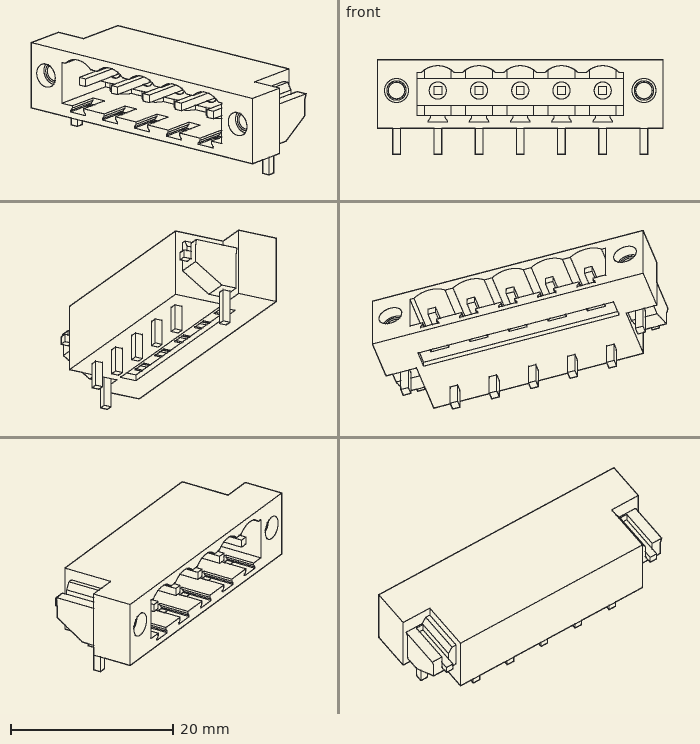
import cadquery as cq
import math


FLANGE_LENGTH = 35.2
FLANGE_DEPTH = 5.3
BODY_LENGTH = 27.25
BODY_DEPTH = 12.0
HOUSING_HEIGHT = 8.5

PIN_COUNT = 5
CAVITY_LENGTH = 25.4
PITCH = CAVITY_LENGTH / PIN_COUNT
CAVITY_FLOOR = 1.62
CAVITY_CEILING = 6.9
CAVITY_DEPTH = 8.45
SCALLOP_TOP = 7.75
SCALLOP_RADIUS = 2.85
PIN_POSITIONS = [(i - (PIN_COUNT - 1) / 2) * PITCH for i in range(PIN_COUNT)]

BAR_BOTTOM = 2.8
BAR_TOP = 6.15
BAR_THICKNESS = 1.4
POST_HALF_WIDTH = 1.65
POST_FLAT_DEPTH = 0.65
POST_ARC_HALF_WIDTH = 1.25
POST_THICKNESS = 1.23

SLOT_TOP_WIDTH = 1.8
SLOT_BOTTOM_WIDTH = 2.35
SLOT_DEPTH = 0.85
SLOT_NECK = 0.28
SLOT_FOOT = 0.18
SLOT_LENGTH = 4.05
WINDOW_START = 3.15

RELIEF_REAR = FLANGE_DEPTH

PIN_SIZE = 1.0
PIN_AXIS_HEIGHT = 4.68
PIN_TAIL = 3.2
PIN_TIP = 0.88
PIN_LEG_CENTRE = 9.95
PIN_RECESS_RADIUS = 1.05
PIN_RECESS_DEPTH = 0.18
END_PIN_LEG_CENTRE = 6.0
END_POSITION = (PIN_COUNT + 1) / 2 * PITCH

INSERT_RADIUS = 1.48
INSERT_RECESS = 1.4
INSERT_END = 4.58
BORE_RADIUS = 1.02
BORE_CHAMFER = 0.18
BORE_CHAMFER_DEPTH = 0.1

EAR_OUTER_WALL = 16.95
EAR_LIP = 17.18
EAR_REAR = 11.0
EAR_BOTTOM = 0.95
EAR_LIP_BOTTOM = 5.5
EAR_OUTER_TOP = 6.23
EAR_INNER_TOP = 7.1
EAR_LEAD_IN_TOP = 14.22
GUSSET_START = 7.32
GUSSET_REAR_BOTTOM = 3.35


def block(x_range, y_range, z_range):
    """Box between two limits along each axis."""
    (x0, x1), (y0, y1), (z0, z1) = x_range, y_range, z_range
    return cq.Workplane("XY").box(x1 - x0, y1 - y0, z1 - z0, centered=False).translate((x0, y0, z0))


def across(centre, width):
    """Lower and upper limit of a width about a centre."""
    return (centre - width / 2, centre + width / 2)


def rear_facing_plane(y):
    """XZ workplane at a depth, whose extrusions run towards +Y when negative."""
    return cq.Workplane("XZ", origin=(0, y, 0))


def cylinder(x, radius, y_start, y_end):
    """Cylinder along Y on the common height of the pins and inserts."""
    return rear_facing_plane(y_start).center(x, PIN_AXIS_HEIGHT).circle(radius).extrude(y_start - y_end)


def angled_pin(x, front, rear, leg_centre):
    """Square pin lying along Y with a leg down to the board side."""
    rod = block(
        across(x, PIN_SIZE),
        (front, rear),
        across(PIN_AXIS_HEIGHT, PIN_SIZE),
    )
    leg = block(
        across(x, PIN_SIZE),
        across(leg_centre, PIN_SIZE),
        (-PIN_TAIL, PIN_AXIS_HEIGHT),
    )
    return rod.union(leg)


def contact_pin(x):
    return angled_pin(x, PIN_TIP, PIN_LEG_CENTRE + PIN_SIZE / 2, PIN_LEG_CENTRE)


def end_pin(x):
    return angled_pin(x, END_PIN_LEG_CENTRE - PIN_SIZE / 2, BODY_DEPTH, END_PIN_LEG_CENTRE)


def threaded_insert(x):
    """Bushing with a chamfered mouth."""
    bushing = cylinder(x, INSERT_RADIUS, INSERT_RECESS, INSERT_END)
    bushing = bushing.cut(cylinder(x, BORE_RADIUS, INSERT_RECESS, INSERT_END))
    mouth = cq.Solid.makeCone(
        BORE_RADIUS + BORE_CHAMFER,
        BORE_RADIUS,
        BORE_CHAMFER_DEPTH,
        pnt=cq.Vector(x, INSERT_RECESS, PIN_AXIS_HEIGHT),
        dir=cq.Vector(0, 1, 0),
    )
    return bushing.cut(cq.Workplane(mouth))


def ear():
    """Ear on the +X side, with a gusset below and an open channel for the end pin."""
    pin_inner, pin_outer = across(END_POSITION, PIN_SIZE)
    section = [
        (BODY_LENGTH / 2, EAR_BOTTOM),
        (EAR_OUTER_WALL, EAR_BOTTOM),
        (EAR_OUTER_WALL, EAR_LIP_BOTTOM),
        (EAR_LIP, EAR_OUTER_TOP),
        (pin_inner, EAR_OUTER_TOP),
        (EAR_LEAD_IN_TOP, EAR_INNER_TOP),
        (BODY_LENGTH / 2, EAR_INNER_TOP),
    ]
    solid = rear_facing_plane(FLANGE_DEPTH).polyline(section).close().extrude(FLANGE_DEPTH - EAR_REAR)
    below_gusset = (
        cq.Workplane("YZ")
        .polyline([(GUSSET_START, EAR_BOTTOM), (EAR_REAR, EAR_BOTTOM), (EAR_REAR, GUSSET_REAR_BOTTOM)])
        .close()
        .extrude(FLANGE_LENGTH)
    )
    channel = block(
        (pin_inner, pin_outer),
        (END_PIN_LEG_CENTRE - PIN_SIZE / 2, EAR_REAR),
        (PIN_AXIS_HEIGHT - PIN_SIZE / 2, EAR_INNER_TOP),
    )
    return solid.cut(below_gusset).cut(channel)


def cavity():
    """Mating opening with one ceiling scallop above each pin."""
    opening = block(
        across(0, CAVITY_LENGTH),
        (0, CAVITY_DEPTH),
        (CAVITY_FLOOR, CAVITY_CEILING),
    )
    rise = SCALLOP_TOP - CAVITY_CEILING
    half_chord = math.sqrt(rise * (2 * SCALLOP_RADIUS - rise))
    for x in PIN_POSITIONS:
        scallop = (
            rear_facing_plane(0)
            .moveTo(x - half_chord, CAVITY_CEILING)
            .threePointArc((x, SCALLOP_TOP), (x + half_chord, CAVITY_CEILING))
            .close()
            .extrude(-CAVITY_DEPTH)
        )
        opening = opening.union(scallop)
    return opening


def keying_post(x):
    """Upright rounded post with slanted flanks on the rear wall of the cavity."""
    flank_front = CAVITY_DEPTH - POST_FLAT_DEPTH
    return (
        cq.Workplane("XY", origin=(x, 0, CAVITY_FLOOR))
        .moveTo(-POST_HALF_WIDTH, CAVITY_DEPTH)
        .lineTo(-POST_ARC_HALF_WIDTH, flank_front)
        .threePointArc((0, CAVITY_DEPTH - POST_THICKNESS), (POST_ARC_HALF_WIDTH, flank_front))
        .lineTo(POST_HALF_WIDTH, CAVITY_DEPTH)
        .close()
        .extrude(SCALLOP_TOP - CAVITY_FLOOR)
    )


def floor_slot(x):
    """Dovetail slot in the cavity floor; its far end lies over the relief pocket and so forms a window."""
    bottom = CAVITY_FLOOR - SLOT_DEPTH
    top_half = SLOT_TOP_WIDTH / 2
    bottom_half = SLOT_BOTTOM_WIDTH / 2
    section = [
        (x - top_half, CAVITY_FLOOR),
        (x - top_half, CAVITY_FLOOR - SLOT_NECK),
        (x - bottom_half, bottom + SLOT_FOOT),
        (x - bottom_half, bottom),
        (x + bottom_half, bottom),
        (x + bottom_half, bottom + SLOT_FOOT),
        (x + top_half, CAVITY_FLOOR - SLOT_NECK),
        (x + top_half, CAVITY_FLOOR),
    ]
    return rear_facing_plane(0).polyline(section).close().extrude(-SLOT_LENGTH)


def relief_pocket():
    """Pocket in the underside, as deep as the slot bottoms, that opens the end of every slot."""
    return block(
        across(0, CAVITY_LENGTH),
        (WINDOW_START, RELIEF_REAR),
        (0, CAVITY_FLOOR - SLOT_DEPTH),
    )


def make_housing():
    z_range = (0, HOUSING_HEIGHT)
    flange = block(across(0, FLANGE_LENGTH), (0, FLANGE_DEPTH), z_range)
    body = block(across(0, BODY_LENGTH), (0, BODY_DEPTH), z_range)
    right_ear = ear()
    solid = flange.union(body).union(right_ear).union(right_ear.mirror("YZ"))

    bar_front = CAVITY_DEPTH - BAR_THICKNESS
    hollow = cavity().cut(block(across(0, CAVITY_LENGTH), (bar_front, CAVITY_DEPTH), (BAR_BOTTOM, BAR_TOP)))
    for x in PIN_POSITIONS:
        hollow = hollow.cut(keying_post(x))
    solid = solid.cut(hollow).cut(relief_pocket())

    for x in PIN_POSITIONS:
        solid = solid.cut(floor_slot(x))
        solid = solid.cut(cylinder(x, PIN_RECESS_RADIUS, bar_front, bar_front + PIN_RECESS_DEPTH))
        solid = solid.cut(contact_pin(x))
    for x in (-END_POSITION, END_POSITION):
        solid = solid.cut(cylinder(x, INSERT_RADIUS, 0, INSERT_END))
        solid = solid.cut(end_pin(x))
    return solid


housing = make_housing()
contact_pins = [contact_pin(x).val() for x in PIN_POSITIONS]
end_pins = [end_pin(x).val() for x in (-END_POSITION, END_POSITION)]
inserts = [threaded_insert(x).val() for x in (-END_POSITION, END_POSITION)]

result = cq.Compound.makeCompound([housing.val(), *contact_pins, *end_pins, *inserts])